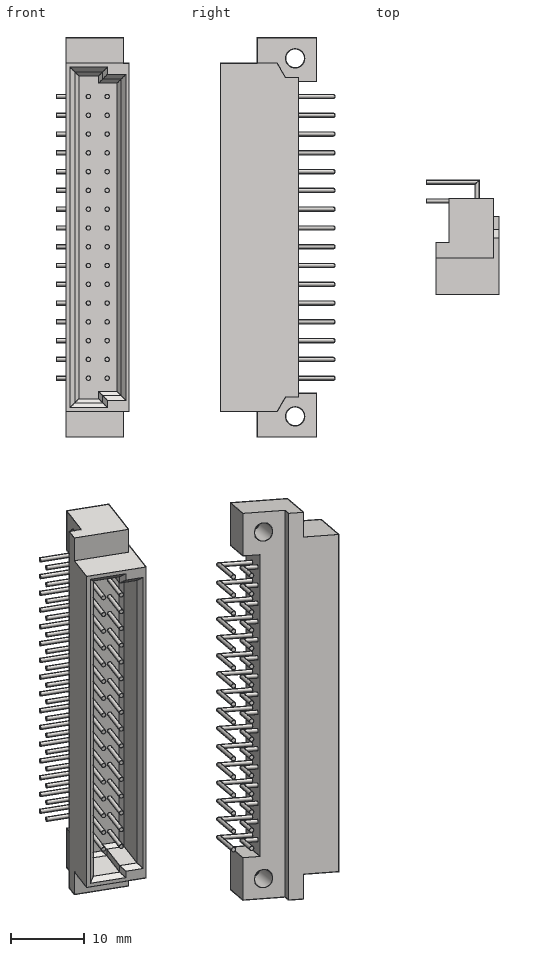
import cadquery as cq
import math


total_height = 54.0
shroud_width = 8.55
shroud_height = 47.1
body_depth = 10.6
flange_width = 7.8
flange_front = 4.95

ear_height = 5.95
ear_back = 13.0
hole_diameter = 2.55
hole_end_distance = 2.8
hole_y = 10.1

relief_depth = 1.75
relief_front = 7.1

slant_front = 7.65
slant_back = 8.8
slant_angle = 60.0

socket_width = 7.55
rim_thickness = 0.55
key_width = 2.5
key_height = 0.95
lead_in = 0.65
floor_bevel = 0.55
socket_depth = 6.4

pin_rows = 16
pin_columns = 2
pitch = 2.55
pin_diameter = 0.6
first_column_x = 3.0
pin_tip_y = 1.6
tail_end_x = -1.3
last_tail_back = 15.5


def box(x_range, y_range, z_range):
    """Block spanning the given coordinate ranges."""
    sizes = [high - low for low, high in (x_range, y_range, z_range)]
    corner = (x_range[0], y_range[0], z_range[0])
    return cq.Workplane("XY").box(*sizes, centered=False).translate(corner)


def make_body():
    """Shroud with full-height flange and mounting ears."""
    shroud_top = shroud_height / 2
    part_top = total_height / 2
    body = box((0, shroud_width), (0, body_depth), (-shroud_top, shroud_top))
    body = body.union(box((0, flange_width), (flange_front, body_depth), (-part_top, part_top)))
    for side in (-1, 1):
        ear_ends = sorted((side * (part_top - ear_height), side * part_top))
        body = body.union(box((0, flange_width), (flange_front, ear_back), ear_ends))
    return body


def cut_relief(body):
    """Set the rear -X side back over the full height."""
    relief = box((0, relief_depth), (relief_front, ear_back), (-total_height / 2, total_height / 2))
    return body.cut(relief)


def cut_slants(body):
    """Shorten the rear of the +X strip at both ends behind a slanted face."""
    top = shroud_height / 2
    drop = (slant_back - slant_front) * math.tan(math.radians(slant_angle))
    wedge = (
        cq.Workplane("YZ", origin=(flange_width, 0, 0))
        .moveTo(slant_front, top)
        .lineTo(slant_back, top - drop)
        .lineTo(body_depth, top - drop)
        .lineTo(body_depth, top)
        .close()
        .extrude(shroud_width - flange_width)
    )
    return body.cut(wedge).cut(wedge.mirror("XY"))


def drill_ears(body):
    """Mounting holes through the ears along X."""
    hole_z = total_height / 2 - hole_end_distance
    holes = (
        cq.Workplane("YZ")
        .pushPoints([(hole_y, -hole_z), (hole_y, hole_z)])
        .circle(hole_diameter / 2)
        .extrude(flange_width)
    )
    return body.cut(holes)


def socket_outline(inset, depth):
    """Closed wire of the keyed socket section, inset from the opening, at the given depth."""
    left = rim_thickness + inset
    right = rim_thickness + socket_width - inset
    key_left = rim_thickness + socket_width - key_width - inset
    top = shroud_height / 2 - rim_thickness - inset
    key_top = top - key_height
    corners = [
        (left, -top),
        (key_left, -top),
        (key_left, -key_top),
        (right, -key_top),
        (right, key_top),
        (key_left, key_top),
        (key_left, top),
        (left, top),
    ]
    return cq.Wire.makePolygon([cq.Vector(x, depth, z) for x, z in corners], close=True)


def make_socket():
    """Socket void: bevelled lead-in, straight walls, then a bevel down to the floor."""
    sections = [
        socket_outline(0, 0),
        socket_outline(lead_in, lead_in),
        socket_outline(lead_in, socket_depth - floor_bevel),
        socket_outline(lead_in + floor_bevel, socket_depth),
    ]
    loft = cq.Solid.makeLoft(sections, True)
    return cq.Workplane(loft)


def make_pin(column, z):
    """Right-angle pin: contact along Y, then a tail bent towards -X."""
    x = first_column_x + column * pitch
    last_tail_y = last_tail_back - pin_diameter / 2
    tail_y = last_tail_y - (pin_columns - 1 - column) * pitch
    bends = [(x, pin_tip_y), (x, tail_y), (tail_end_x, tail_y)]
    path = cq.Workplane("XY", origin=(0, 0, z)).polyline(bends)
    start = cq.Workplane("XZ", origin=(x, pin_tip_y, z))
    return start.circle(pin_diameter / 2).sweep(path, transition="right")


result = make_body()
result = cut_relief(result)
result = cut_slants(result)
result = drill_ears(result)
result = result.cut(make_socket())
for row in range(pin_rows):
    row_z = (row - (pin_rows - 1) / 2) * pitch
    for column in range(pin_columns):
        result = result.union(make_pin(column, row_z))